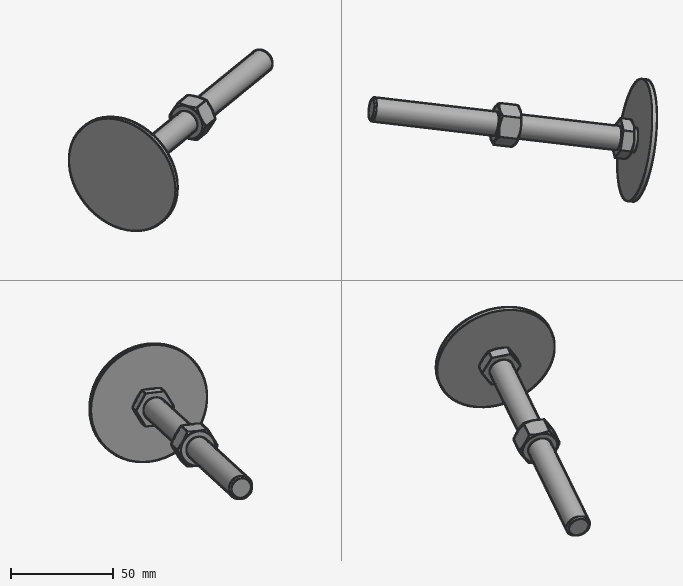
import cadquery as cq
import math

TOTAL_LENGTH = 136.0

PAD_DIAMETER = 60.0
PAD_THICKNESS = 2.5
NECK_HEIGHT = 2.5
NECK_TOP_RADIUS = 3.7
NECK_BASE_RADIUS = NECK_TOP_RADIUS + NECK_HEIGHT

ROD_DIAMETER = 12.0
ROD_END_CHAMFER = 1.0
COLLAR_ACROSS_FLATS = 17.0
COLLAR_HEIGHT = 6.1
COLLAR_BASE = PAD_THICKNESS + NECK_HEIGHT
COLLAR_TOP = COLLAR_BASE + COLLAR_HEIGHT

NUT_ACROSS_FLATS = 18.0
NUT_HEIGHT = 10.9
NUT_BASE = 62.4

CORNER_CHAMFER_ANGLE = 30.0
CHAMFER_CIRCLE_RATIO = 0.98


def cylinder(diameter, base, height):
    return cq.Workplane("XY").workplane(offset=base).circle(diameter / 2).extrude(height)


def lay_along_y(body):
    return body.rotate((0, 0, 0), (1, 0, 0), -90)


def make_hexagon(across_flats, base, height, chamfer_top):
    """Hexagonal prism with two corners on X and conically chamfered ends."""
    corner_radius = across_flats / math.sqrt(3)
    face_radius = across_flats / 2 * CHAMFER_CIRCLE_RATIO
    chamfer_height = (corner_radius - face_radius) * math.tan(math.radians(CORNER_CHAMFER_ANGLE))
    top = base + height

    prism = cq.Workplane("XY").workplane(offset=base).polygon(6, 2 * corner_radius).extrude(height)
    profile = [(0, base), (face_radius, base), (corner_radius, base + chamfer_height)]
    if chamfer_top:
        profile += [(corner_radius, top - chamfer_height), (face_radius, top)]
    else:
        profile += [(corner_radius, top)]
    profile += [(0, top)]
    envelope = cq.Workplane("XZ").polyline(profile).close().revolve(360, (0, 0, 0), (0, 1, 0))
    return prism.intersect(envelope)


def make_foot_pad():
    """Round pad with a conical neck that carries the stud."""
    profile = [
        (0, 0),
        (PAD_DIAMETER / 2, 0),
        (PAD_DIAMETER / 2, PAD_THICKNESS),
        (NECK_BASE_RADIUS, PAD_THICKNESS),
        (NECK_TOP_RADIUS, COLLAR_BASE),
        (0, COLLAR_BASE),
    ]
    pad = cq.Workplane("XZ").polyline(profile).close().revolve(360, (0, 0, 0), (0, 1, 0))
    return lay_along_y(pad)


def make_stud():
    """Plain rod with a chamfered free end and a hexagonal collar at its foot."""
    rod = cylinder(ROD_DIAMETER, COLLAR_TOP, TOTAL_LENGTH - COLLAR_TOP)
    rod = rod.faces(">Z").chamfer(ROD_END_CHAMFER)
    collar = make_hexagon(COLLAR_ACROSS_FLATS, COLLAR_BASE, COLLAR_HEIGHT, chamfer_top=False)
    return lay_along_y(rod.union(collar))


def make_lock_nut():
    """Hexagonal nut, chamfered at both ends, bored to fit the rod."""
    nut = make_hexagon(NUT_ACROSS_FLATS, NUT_BASE, NUT_HEIGHT, chamfer_top=True)
    bore = cylinder(ROD_DIAMETER, NUT_BASE, NUT_HEIGHT)
    return lay_along_y(nut.cut(bore))


foot_pad = make_foot_pad()
stud = make_stud()
lock_nut = make_lock_nut()

result = cq.Compound.makeCompound([foot_pad.val(), stud.val(), lock_nut.val()])